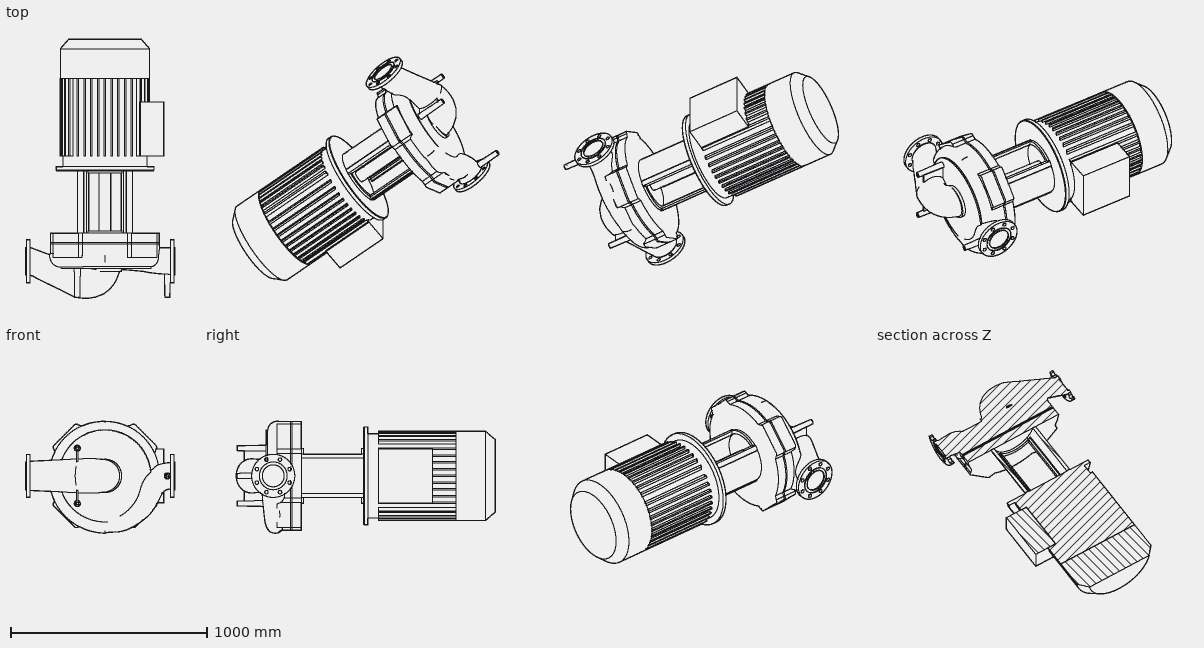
import cadquery as cq
import math


suction_face_x = -404.0
discharge_face_x = 356.0
flange_radius = 110.0
flange_thickness = 18.0
stub_radius = 71.0
stub_projection = 4.0
bore_radius = 56.0
bore_depth = 6.0
flange_bolt_count = 8
flange_bolt_circle_radius = 90.0
flange_bolt_radius = 9.0
stub_length = flange_thickness + stub_projection

plate_front_y = -36.6
plate_back_y = -28.0
shoulder_y = 19.0
casing_end_y = 86.7
gasket_end_y = 94.7
cover_end_y = 143.0
motor_front_y = 461.0
motor_flange_back_y = 482.0
fin_start_y = 535.6
hood_start_y = 932.0
hood_chamfer_y = 1083.0
hood_end_y = 1132.3

casing_radius = 278.3
front_plate_radius = 235.0
shoulder_fillet = shoulder_y - plate_back_y
pad_count = 4
pad_distance = 294.0
pad_half_width = 88.0
pad_corner_radius = 14.0
pad_root_half = 100.0
pad_root_distance = 258.0

volute_start_angle = 90.0
volute_bottom_angle = 270.0
volute_start_center = 232.5
volute_bottom_center = 246.0
volute_start_tube = 46.5
volute_bottom_tube = 292.86 - volute_bottom_center
volute_start_y = 20.0
volute_bottom_y = 10.0
branch_middle_center = 240.0
branch_middle_tube = 64.0
branch_middle_y = 6.0
branch_end_tube = 69.0
spiral_steps = 6
branch_steps = 5

elbow_collar_radius = 85.0
elbow_collar_y = -52.0
elbow_pivot_x = -90.0
elbow_pivot_y = plate_back_y
elbow_slope = 21.5
elbow_inner_reach = 9.0
elbow_start_reach = 168.0
elbow_middle_reach = 162.5
elbow_outlet_reach = 171.0
elbow_inlet_width = 75.0
elbow_full_width = 87.0
elbow_outlet_width = 81.0

foot_end_y = -184.6
foot_root_radius = 16.0
foot_end_radius = 13.0
foot_hole_radius = 6.0
foot_hole_depth = 15.0
suction_foot_x = -141.0
suction_foot_z = 141.0
discharge_foot_x = 318.0
discharge_foot_root_y = -58.0
rib_thickness = 8.0
rib_end_y = -149.0

lantern_radius = 140.5
lantern_bore_radius = 122.0
window_half_width = 94.0
window_end_margin = 12.0
bar_top_z = 111.0
bar_bottom_z = 90.0
bar_outer_x = 110.0
bar_inner_x = 82.0
bar_top_x = 94.0
bar_bevel_x = 100.0
bar_bevel_z = 104.0
shaft_radius = 30.5

motor_flange_radius = 250.0
motor_flange_chamfer = 3.0
drum_radius = 215.0
hood_radius = 228.0
hood_end_radius = 185.0
fins_per_side = 4
fin_pitch = 34.4
fin_width = 8.0

box_inner_x = 176.5
box_outer_x = 300.0
box_half_width = 138.0
box_end_y = 812.0


def disc(radius, y_start, y_end):
    """Cylinder about the Y axis between two stations."""
    return cq.Workplane("XZ", origin=(0, y_start, 0)).circle(radius).extrude(y_start - y_end)


def block(x_range, y_range, z_range):
    """Axis-aligned box given by its limits."""
    sizes = [high - low for low, high in (x_range, y_range, z_range)]
    corner = (x_range[0], y_range[0], z_range[0])
    return cq.Workplane("XY").box(*sizes, centered=False).translate(corner)


def casing_pads(y_start, y_end):
    """Flat pads on the diagonals of the round casing outline."""
    outline = (
        cq.Workplane("XZ", origin=(0, y_start, 0))
        .moveTo(0, pad_root_half)
        .lineTo(pad_root_distance, pad_root_half)
        .lineTo(pad_distance - pad_corner_radius, pad_half_width)
        .radiusArc((pad_distance, pad_half_width - pad_corner_radius), pad_corner_radius)
        .lineTo(pad_distance, -pad_half_width + pad_corner_radius)
        .radiusArc((pad_distance - pad_corner_radius, -pad_half_width), pad_corner_radius)
        .lineTo(pad_root_distance, -pad_root_half)
        .lineTo(0, -pad_root_half)
        .close()
    )
    pad = outline.extrude(y_start - y_end)
    step = 360 / pad_count
    pads = pad.rotate((0, 0, 0), (0, 1, 0), step / 2)
    for index in range(1, pad_count):
        pads = pads.union(pad.rotate((0, 0, 0), (0, 1, 0), step * (index + 0.5)))
    return pads


def padded_disc(y_start, y_end):
    return disc(casing_radius, y_start, y_end).union(casing_pads(y_start, y_end))


def casing_shell():
    """Round casing with a rolled front shoulder and a flat front plate."""
    roll_center = casing_radius - shoulder_fillet
    roll_diagonal = shoulder_fillet * math.sqrt(0.5)
    return (
        cq.Workplane("XY")
        .moveTo(0, casing_end_y)
        .lineTo(casing_radius, casing_end_y)
        .lineTo(casing_radius, shoulder_y)
        .threePointArc(
            (roll_center + roll_diagonal, shoulder_y - roll_diagonal),
            (roll_center, plate_back_y),
        )
        .lineTo(0, plate_back_y)
        .close()
        .revolve(360, (0, 0, 0), (0, 1, 0))
        .union(disc(front_plate_radius, plate_front_y, plate_back_y))
        .union(casing_pads(shoulder_y, casing_end_y))
    )


def blend(start, end, fraction):
    return start + (end - start) * fraction


def loft(sections, across):
    """Smooth solid through ellipses given as (centre, direction, half width along across, half depth)."""
    wires = [
        cq.Workplane(cq.Plane(center, across, direction)).ellipse(width, depth).wires().val()
        for center, direction, width, depth in sections
    ]
    return cq.Workplane(obj=cq.Solid.makeLoft(wires))


def volute_section(angle, center_radius, tube_radius, y):
    """Circle of the volute tube at an angle about the shaft."""
    cosine = math.cos(math.radians(angle))
    sine = math.sin(math.radians(angle))
    center = (center_radius * cosine, y, center_radius * sine)
    return center, (-sine, 0, cosine), tube_radius, tube_radius


def volute_spiral():
    """Growing tube that emerges from the casing shoulder and runs round to the bottom."""
    sections = []
    for step in range(spiral_steps + 1):
        fraction = step / spiral_steps
        sections.append(
            volute_section(
                blend(volute_start_angle, volute_bottom_angle, fraction),
                blend(volute_start_center, volute_bottom_center, fraction),
                blend(volute_start_tube, volute_bottom_tube, fraction),
                blend(volute_start_y, volute_bottom_y, fraction),
            )
        )
    return loft(sections, (0, 1, 0))


def discharge_branch():
    """Widening tube from the volute bottom, bent back level to meet the discharge flange."""
    end_x = discharge_face_x - stub_length
    bend_radius = (end_x**2 - branch_middle_center**2) / (2 * branch_middle_center)
    touch_angle = 360 - math.degrees(math.atan2(bend_radius, end_x))
    sections = []
    for step in range(branch_steps):
        fraction = step / branch_steps
        sections.append(
            volute_section(
                blend(volute_bottom_angle, touch_angle, fraction),
                blend(volute_bottom_center, branch_middle_center, fraction),
                blend(volute_bottom_tube, branch_middle_tube, fraction),
                blend(volute_bottom_y, branch_middle_y, fraction),
            )
        )
    for step in range(branch_steps + 1):
        fraction = step / branch_steps
        angle = math.radians(blend(touch_angle - 180, 90, fraction))
        center = (
            end_x + bend_radius * math.cos(angle),
            blend(branch_middle_y, 0, fraction),
            -bend_radius + bend_radius * math.sin(angle),
        )
        direction = (math.sin(angle), 0, -math.cos(angle))
        tube_radius = blend(branch_middle_tube, branch_end_tube, fraction)
        sections.append((center, direction, tube_radius, tube_radius))
    return loft(sections, (0, 1, 0))


def elbow_section(turn, outer_reach, width):
    """Oval of the elbow in a plane through its pivot, turn degrees back from the outlet."""
    angle = math.radians(turn)
    middle_reach = (outer_reach + elbow_inner_reach) / 2
    center = (
        elbow_pivot_x + middle_reach * math.cos(angle),
        elbow_pivot_y - middle_reach * math.sin(angle),
        0,
    )
    depth = (outer_reach - elbow_inner_reach) / 2
    return center, (math.sin(angle), math.cos(angle), 0), width, depth


def suction_elbow():
    """Sloping oval pipe that bends into the middle of the front plate."""
    turn = 90 + elbow_slope
    inlet_center = (suction_face_x + stub_length, 0, 0)
    inlet = (inlet_center, (1, 0, 0), elbow_inlet_width, stub_radius)
    bend_start = elbow_section(turn, elbow_start_reach, elbow_full_width)
    bend_middle = elbow_section(turn / 2, elbow_middle_reach, elbow_full_width)
    outlet = elbow_section(0, elbow_outlet_reach, elbow_outlet_width)
    across = (0, 0, 1)
    collar = disc(elbow_collar_radius, elbow_collar_y, plate_front_y)
    slope = loft([inlet, bend_start], across)
    bend = loft([bend_start, bend_middle, outlet], across)
    return slope.union(bend).union(collar)


def pipe_stub(face_x, inward):
    """Plain pipe end that passes through its flange, with a shallow blind bore."""
    plane = cq.Workplane("YZ", origin=(face_x, 0, 0))
    stub = plane.circle(stub_radius).extrude(inward * stub_length)
    return stub.cut(plane.circle(bore_radius).extrude(inward * bore_depth))


def foot(x, z, root_y):
    """Tapered round foot pointing to -Y with a blind hole in its end."""
    rod = (
        cq.Workplane("XZ", origin=(x, root_y, z))
        .circle(foot_root_radius)
        .workplane(offset=root_y - foot_end_y)
        .circle(foot_end_radius)
        .loft()
    )
    end_plane = cq.Workplane("XZ", origin=(x, foot_end_y, z))
    return rod.cut(end_plane.circle(foot_hole_radius).extrude(-foot_hole_depth))


def suction_feet():
    """Two feet on the front plate, joined to the elbow by a rib that runs through it."""
    rib_x = (suction_foot_x - rib_thickness / 2, suction_foot_x + rib_thickness / 2)
    rib_z = (-suction_foot_z, suction_foot_z)
    feet = block(rib_x, (rib_end_y, plate_back_y), rib_z)
    for z in rib_z:
        feet = feet.union(foot(suction_foot_x, z, plate_back_y))
    return feet


def make_casing():
    return (
        casing_shell()
        .union(volute_spiral())
        .union(discharge_branch())
        .union(pipe_stub(discharge_face_x, -1))
        .union(suction_elbow())
        .union(pipe_stub(suction_face_x, 1))
        .union(suction_feet())
        .union(foot(discharge_foot_x, 0, discharge_foot_root_y))
    )


def make_pipe_flange(face_x, inward):
    """Bolted ring round a pipe stub, set back from the stub face."""
    return (
        cq.Workplane("YZ", origin=(face_x + inward * stub_projection, 0, 0))
        .circle(flange_radius)
        .circle(stub_radius)
        .polarArray(flange_bolt_circle_radius, 180 / flange_bolt_count, 360, flange_bolt_count)
        .circle(flange_bolt_radius)
        .extrude(inward * flange_thickness)
    )


def make_lantern():
    """Tube between cover and motor, with windows above and below that have a bar along each side."""
    window = block(
        (-window_half_width, window_half_width),
        (cover_end_y + window_end_margin, motor_front_y - window_end_margin),
        (-lantern_radius, lantern_radius),
    )
    lantern = (
        disc(lantern_radius, cover_end_y, motor_front_y)
        .cut(disc(lantern_bore_radius, cover_end_y, motor_front_y))
        .cut(window)
    )
    bar_outline = [
        (bar_inner_x, bar_bottom_z),
        (bar_inner_x, bar_top_z),
        (bar_top_x, bar_top_z),
        (bar_bevel_x, bar_bevel_z),
        (bar_outer_x, bar_bottom_z),
    ]
    plane = cq.Workplane("XZ", origin=(0, cover_end_y, 0))
    for x_side in (1, -1):
        for z_side in (1, -1):
            outline = [(x_side * x, z_side * z) for x, z in bar_outline]
            bar = plane.polyline(outline).close().extrude(cover_end_y - motor_front_y)
            lantern = lantern.union(bar)
    return lantern


def drum_fins():
    """Flat parallel fins facing up, down and sideways, trimmed to the hood diameter."""
    slabs = cq.Workplane("XY")
    reach = (-hood_radius, hood_radius)
    fin_y = (fin_start_y, hood_start_y)
    for index in range(-fins_per_side, fins_per_side + 1):
        middle = index * fin_pitch
        span = (middle - fin_width / 2, middle + fin_width / 2)
        slabs = slabs.union(block(span, fin_y, reach)).union(block(reach, fin_y, span))
    return slabs.intersect(disc(hood_radius, fin_start_y, hood_start_y))


def make_motor(terminal_box):
    """Finned drum with its mounting flange."""
    flange = disc(motor_flange_radius, motor_front_y, motor_flange_back_y)
    flange = flange.faces("<Y").chamfer(motor_flange_chamfer)
    drum = disc(drum_radius, motor_front_y, hood_start_y)
    return drum.union(flange).union(drum_fins()).cut(terminal_box)


def make_hood():
    """Fan hood with a coned end."""
    return (
        cq.Workplane("XY")
        .polyline(
            [
                (0, hood_start_y),
                (hood_radius, hood_start_y),
                (hood_radius, hood_chamfer_y),
                (hood_end_radius, hood_end_y),
                (0, hood_end_y),
            ]
        )
        .close()
        .revolve(360, (0, 0, 0), (0, 1, 0))
    )


casing = make_casing()
suction_flange = make_pipe_flange(suction_face_x, 1)
discharge_flange = make_pipe_flange(discharge_face_x, -1)
gasket = padded_disc(casing_end_y, gasket_end_y)
cover = padded_disc(gasket_end_y, cover_end_y)
lantern = make_lantern()
shaft = disc(shaft_radius, cover_end_y, motor_front_y)
terminal_box = block(
    (box_inner_x, box_outer_x),
    (fin_start_y, box_end_y),
    (-box_half_width, box_half_width),
)
motor = make_motor(terminal_box)
hood = make_hood()

result = cq.Compound.makeCompound(
    [
        casing.val(),
        suction_flange.val(),
        discharge_flange.val(),
        gasket.val(),
        cover.val(),
        lantern.val(),
        shaft.val(),
        terminal_box.val(),
        motor.val(),
        hood.val(),
    ]
)